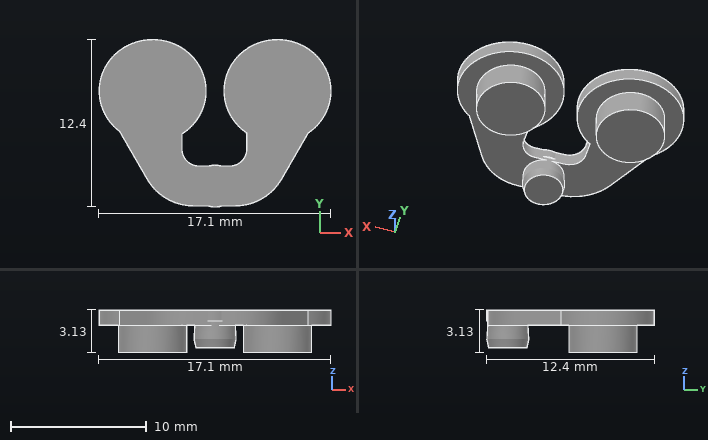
import cadquery as cq
import math

overall_length = 17.12
plate_thickness = 1.13

pad_radius_x = 3.95
pad_radius_y = 3.8
pad_offset = overall_length / 2 - pad_radius_x

yoke_shift = -0.05
yoke_bottom = -8.5
yoke_top = -2.74
yoke_corner_half_width = 3.82
yoke_flank_angle = 60.0
yoke_corner_radius = 3.95
slot_half_width = 2.38
slot_floor = -5.53
slot_corner_radius = 1.23

boss_diameter = 5.05
boss_height = 2.0

pin_y = -7.02
pin_disc_radius = 1.55
pin_disc_depth = 0.8
pin_neck_radius = 1.49
pin_widest_radius = 1.55
pin_widest_depth = 2.15
pin_bevel_radius = 1.49
pin_bevel_depth = 2.47
pin_tip_radius = 1.42
pin_tip_depth = 2.79


def make_pads():
    """Two elliptical pads, side by side along X."""
    return (
        cq.Workplane("XY")
        .pushPoints([(-pad_offset, 0), (pad_offset, 0)])
        .ellipse(pad_radius_x, pad_radius_y)
        .extrude(-plate_thickness)
    )


def make_yoke():
    """U-shaped arm whose two ends are buried in the pads."""
    flank_run = (yoke_top - yoke_bottom) / math.tan(math.radians(yoke_flank_angle))
    top_half_width = yoke_corner_half_width + flank_run
    body = (
        cq.Workplane("XY")
        .polyline([
            (-yoke_corner_half_width, yoke_bottom),
            (yoke_corner_half_width, yoke_bottom),
            (top_half_width, yoke_top),
            (-top_half_width, yoke_top),
        ])
        .close()
        .extrude(-plate_thickness)
        .edges("|Z and <Y")
        .fillet(yoke_corner_radius)
    )
    slot_length = yoke_top - slot_floor
    slot = (
        cq.Workplane("XY")
        .center(0, slot_floor + slot_length / 2)
        .rect(2 * slot_half_width, slot_length)
        .extrude(-plate_thickness)
        .edges("|Z and <Y")
        .fillet(slot_corner_radius)
    )
    return body.cut(slot).translate((yoke_shift, 0, 0))


def make_bosses():
    """Round bosses hanging below the pad centres."""
    return (
        cq.Workplane("XY", origin=(0, 0, -plate_thickness))
        .pushPoints([(-pad_offset, 0), (pad_offset, 0)])
        .circle(boss_diameter / 2)
        .extrude(-boss_height)
    )


def make_pin():
    """Pin flaring gently below its disc, then bevelled to the tip; revolved about its axis."""
    return (
        cq.Workplane("XZ", origin=(0, pin_y, 0))
        .polyline([
            (0, 0),
            (pin_disc_radius, 0),
            (pin_disc_radius, -pin_disc_depth),
            (pin_neck_radius, -pin_disc_depth),
            (pin_widest_radius, -pin_widest_depth),
            (pin_bevel_radius, -pin_bevel_depth),
            (pin_tip_radius, -pin_tip_depth),
            (0, -pin_tip_depth),
        ])
        .close()
        .revolve(360, (0, 0, 0), (0, 1, 0))
    )


result = make_pads().union(make_yoke()).union(make_bosses()).union(make_pin())